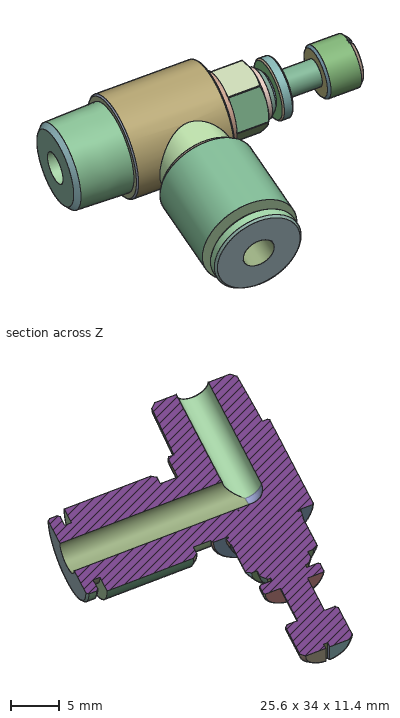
import cadquery as cq
import math


total_length = 34.0
gauge_y = 3.0
body_bottom_y = 6.5
body_top_y = 17.75
collar_top_y = 18.75
hex_top_y = 22.68
boss_rim_y = 23.4
boss_top_y = 24.05
disc_bottom_y = 24.3
disc_top_y = 25.57
knob_bottom_y = 29.75
arm_y = 13.25

gauge_radius = 4.85
taper = 1 / 32
thread_tip_radius = 4.2
thread_chamfer = 0.55

body_radius = 5.7
body_chamfer = 0.17
collar_bottom_radius = 4.2
collar_top_radius = 4.08
groove_radius = 3.9
groove_width = 0.1

hex_across_flats = 7.0
hex_sharp_radius = hex_across_flats / math.sqrt(3)
hex_corner_radius = 4.0
hex_top_radius = 3.47
hex_chamfer_angle = math.radians(30)

boss_radius = 2.85
boss_top_radius = 2.3
neck_radius = 1.97
disc_radius = 3.4
disc_chamfer = 0.17
stem_radius = 1.53
knob_radius = 2.95
knob_bottom_chamfer = 0.27
knob_top_chamfer = 0.48
slot_width = 0.4
slot_depth = 0.55

arm_radius = 4.18
sleeve_start_x = 7.6
sleeve_end_x = 17.85
sleeve_radius = 5.4
sleeve_chamfer_length = 0.55
sleeve_chamfer_depth = 0.4
flange_start_x = 18.55
flange_end_x = 19.92
flange_radius = 4.95
flange_chamfer = 0.25
flange_neck_radius = 3.6

bore_radius = 1.77


def turned(profile):
    """Revolve (radius, y) points, given from the bottom up, about the Y axis."""
    points = [(0, profile[0][1])] + profile + [(0, profile[-1][1])]
    return cq.Workplane("XY").polyline(points).close().revolve(360, (0, 0, 0), (0, 1, 0))


def chamfered_disc(radius, start, end, start_chamfer, end_chamfer):
    """Outline points of a disc with a 45 degree chamfer on both rims."""
    return [
        (radius - start_chamfer, start),
        (radius, start + start_chamfer),
        (radius, end - end_chamfer),
        (radius - end_chamfer, end),
    ]


def taper_radius(y):
    """Radius of the thread cone at height y."""
    return gauge_radius + taper * (y - gauge_y)


def make_thread():
    return turned([
        (thread_tip_radius, 0),
        (taper_radius(thread_chamfer), thread_chamfer),
        (gauge_radius, gauge_y),
        (taper_radius(body_bottom_y), body_bottom_y),
    ])


def make_body():
    body = turned(chamfered_disc(body_radius, body_bottom_y, body_top_y, body_chamfer, body_chamfer))
    collar = turned([
        (groove_radius, body_top_y),
        (groove_radius, body_top_y + groove_width),
        (collar_bottom_radius, body_top_y + groove_width),
        (collar_top_radius, collar_top_y),
    ])
    return body.union(collar)


def make_hexagon():
    """Hexagon with corners toward +X and -X, its corners rounded and its top cut by a cone."""
    height = hex_top_y - collar_top_y
    prism = (
        cq.Workplane("XZ", origin=(0, collar_top_y, 0))
        .polygon(6, 2 * hex_sharp_radius)
        .extrude(-height)
    )
    cone_drop = (hex_corner_radius - hex_top_radius) * math.tan(hex_chamfer_angle)
    envelope = turned([
        (hex_corner_radius, collar_top_y),
        (hex_corner_radius, hex_top_y - cone_drop),
        (hex_top_radius, hex_top_y),
    ])
    return prism.intersect(envelope)


def make_adjuster():
    """Boss, neck, lock disc, stem and slotted knob above the hexagon."""
    profile = [
        (boss_radius, hex_top_y),
        (boss_radius, boss_rim_y),
        (boss_top_radius, boss_top_y),
        (neck_radius, boss_top_y),
        (neck_radius, disc_bottom_y),
    ]
    profile += chamfered_disc(disc_radius, disc_bottom_y, disc_top_y, disc_chamfer, disc_chamfer)
    profile += [(stem_radius, disc_top_y), (stem_radius, knob_bottom_y)]
    profile += chamfered_disc(
        knob_radius, knob_bottom_y, total_length, knob_bottom_chamfer, knob_top_chamfer
    )
    slot = cq.Workplane("XY").box(slot_width, 2 * slot_depth, 2 * knob_radius)
    return turned(profile).cut(slot.translate((0, total_length, 0)))


def make_arm():
    """Round arm, sleeve and release flange along +X."""
    profile = [
        (arm_radius, 0),
        (arm_radius, sleeve_start_x),
        (sleeve_radius - sleeve_chamfer_depth, sleeve_start_x),
        (sleeve_radius, sleeve_start_x + sleeve_chamfer_length),
        (sleeve_radius, sleeve_end_x),
        (flange_neck_radius, sleeve_end_x),
        (flange_neck_radius, flange_start_x),
    ]
    profile += chamfered_disc(
        flange_radius, flange_start_x, flange_end_x, flange_chamfer, flange_chamfer
    )
    return turned(profile).rotate((0, 0, 0), (0, 0, 1), -90).translate((0, arm_y, 0))


def make_passage():
    """Bore from the thread end that turns at a ball-shaped corner and leaves through the arm."""
    inlet = cq.Workplane("XZ").circle(bore_radius).extrude(-arm_y)
    outlet = cq.Workplane("YZ", origin=(0, arm_y, 0)).circle(bore_radius).extrude(flange_end_x)
    corner = cq.Workplane("XY", origin=(0, arm_y, 0)).sphere(bore_radius)
    return inlet.union(outlet).union(corner)


result = (
    make_thread()
    .union(make_body())
    .union(make_hexagon())
    .union(make_adjuster())
    .union(make_arm())
    .cut(make_passage())
)